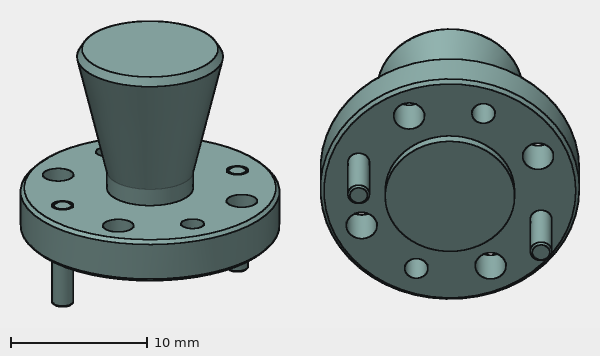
import cadquery as cq
import math

flange_diameter = 19.05
flange_thickness = 3.32
flange_chamfer = 0.27

boss_diameter = 9.525
boss_height = 0.76

neck_diameter = 6.35
neck_height = 1.33
grip_height = 9.26
grip_top_diameter = 10.76
rim_bevel_height = 0.61
knob_top_diameter = 10.0

bolt_circle_diameter = 14.2875
screw_hole_diameter = 2.26
alignment_hole_diameter = 1.7
screw_hole_angles = (0, 90, 180, 270)
alignment_hole_angles = (135, 315)
pin_angles = (45, 225)

pin_diameter = 1.59
pin_projection = 4.59
pin_chamfer = 0.15
pin_length = flange_thickness + pin_projection


def circle_points(angles):
    """Points on the bolt circle at the given angles in degrees."""
    radius = bolt_circle_diameter / 2
    return [
        (radius * math.cos(math.radians(angle)), radius * math.sin(math.radians(angle)))
        for angle in angles
    ]


def make_knob():
    """Knob revolved about Z, standing on top of the flange."""
    neck_top = flange_thickness + neck_height
    grip_top = neck_top + grip_height
    knob_top = grip_top + rim_bevel_height
    return (
        cq.Workplane("XZ")
        .moveTo(0, flange_thickness)
        .lineTo(neck_diameter / 2, flange_thickness)
        .lineTo(neck_diameter / 2, neck_top)
        .lineTo(grip_top_diameter / 2, grip_top)
        .lineTo(knob_top_diameter / 2, knob_top)
        .lineTo(0, knob_top)
        .close()
        .revolve(360, (0, 0, 0), (0, 1, 0))
    )


def make_holes(angles, diameter):
    """Cutters that pass through the flange on the bolt circle."""
    return (
        cq.Workplane("XY")
        .pushPoints(circle_points(angles))
        .circle(diameter / 2)
        .extrude(flange_thickness)
    )


def make_flange():
    """Flange with its boss and knob, pierced for screws and pins."""
    disc = (
        cq.Workplane("XY")
        .circle(flange_diameter / 2)
        .extrude(flange_thickness)
        .edges("%CIRCLE")
        .chamfer(flange_chamfer)
    )
    boss = cq.Workplane("XY").circle(boss_diameter / 2).extrude(-boss_height)
    return (
        disc.union(boss)
        .union(make_knob())
        .cut(make_holes(screw_hole_angles, screw_hole_diameter))
        .cut(make_holes(alignment_hole_angles, alignment_hole_diameter))
        .cut(make_holes(pin_angles, pin_diameter))
    )


def make_pin(x, y):
    """Alignment pin chamfered at both ends, filling its hole in the flange."""
    return (
        cq.Workplane("XY")
        .circle(pin_diameter / 2)
        .extrude(pin_length)
        .edges("%CIRCLE")
        .chamfer(pin_chamfer)
        .translate((x, y, -pin_projection))
    )


flange = make_flange()
pins = [make_pin(x, y) for x, y in circle_points(pin_angles)]

result = cq.Compound.makeCompound([flange.val(), *[pin.val() for pin in pins]])